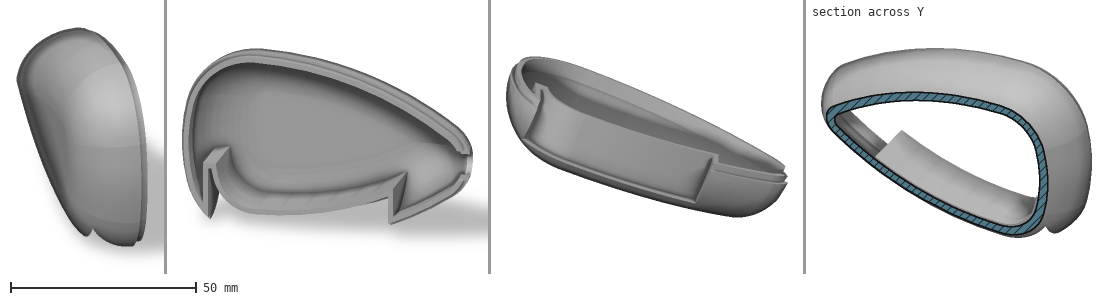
import cadquery as cq
import math

half_width = 26.9
tail_x = 21.0
side_radius = 94.7
nose_radius = 11.4
tail_radius = 48.2

dome_depth = 16.2
edge_round = 16.0
wall = 1.45

lip_height = 2.0
lip_overlap = 1.9
lip_inset = 1.0
lip_thickness = 1.45
lip_gap_width = 8.5

cable_diameter = 7.8
cable_center_y = -2.6

recess_start_x = -37.05
recess_end_x = 13.1
recess_depth = 11.5
recess_inset = 8.2

reach = 160.8

corner_radius = (
    (tail_radius**2 - half_width**2 - (tail_radius - tail_x) ** 2)
    / (2 * (tail_radius - half_width))
)
side_center = (0.0, half_width - side_radius)
corner_center = (0.0, half_width - corner_radius)
tail_center = (tail_x - tail_radius, 0.0)
nose_center = (-math.sqrt((side_radius - nose_radius) ** 2 - side_center[1] ** 2), 0.0)

nose_angle = math.atan2(-side_center[1], nose_center[0])
tail_angle = math.atan2(corner_center[1], -tail_center[0])


def polar(center, radius, angle):
    return (center[0] + radius * math.cos(angle), center[1] + radius * math.sin(angle))


def extrude_down(wire, y_high, y_low):
    """Extrude a closed XZ wire from y_high towards -Y."""
    return wire.extrude(y_high - y_low).translate((0, y_high, 0))


def block(x_low, x_high, y_low, y_high, z_low, z_high):
    size = (x_high - x_low, y_high - y_low, z_high - z_low)
    return cq.Workplane("XY").box(*size, centered=False).translate((x_low, y_low, z_low))


def outline_prism(inset, y_high, y_low):
    """Extrude the teardrop outline, moved inwards by inset."""
    nose = nose_radius - inset
    side = side_radius - inset
    corner = corner_radius - inset
    tail = tail_radius - inset

    def mirrored(point):
        return (point[0], -point[1])

    nose_end = polar(nose_center, nose, nose_angle)
    side_middle = polar(side_center, side, (nose_angle + math.pi / 2) / 2)
    widest = (0.0, half_width - inset)
    corner_middle = polar(corner_center, corner, (tail_angle + math.pi / 2) / 2)
    tail_end = polar(tail_center, tail, tail_angle)
    wire = (
        cq.Workplane("XZ")
        .moveTo(*nose_end)
        .threePointArc(side_middle, widest)
        .threePointArc(corner_middle, tail_end)
        .threePointArc((tail_x - inset, 0.0), mirrored(tail_end))
        .threePointArc(mirrored(corner_middle), mirrored(widest))
        .threePointArc(mirrored(side_middle), mirrored(nose_end))
        .threePointArc((nose_center[0] - nose, 0.0), nose_end)
        .close()
    )
    return extrude_down(wire, y_high, y_low)


def rounded_disc(center, radius, depth, rounding):
    """Disc about a Y axis with its -Y edge rounded, possibly past its centre."""
    arc_width = min(radius, rounding)
    arc_start = depth - rounding

    def arc_point(run):
        return (radius - run, -arc_start - math.sqrt(rounding**2 - (rounding - run) ** 2))

    middle_run = rounding * (1 - math.cos(math.acos(1 - arc_width / rounding) / 2))
    profile = (
        cq.Workplane("XY")
        .lineTo(radius, 0)
        .lineTo(radius, -arc_start)
        .threePointArc(arc_point(middle_run), arc_point(arc_width))
    )
    if radius > rounding:
        profile = profile.lineTo(0, -depth)
    disc = profile.close().revolve(360, (0, 0, 0), (0, 1, 0))
    return disc.translate((center[0], 0, center[1]))


def dome(inset):
    """Solid teardrop dome, with every outer face moved inwards by inset."""
    nose_far = polar(nose_center, reach, nose_angle)
    tail_far = polar(corner_center, reach, tail_angle)
    top_far = (0.0, reach)
    sectors = [
        (nose_center, nose_radius, [nose_center, (-reach, 0.0), nose_far]),
        (side_center, side_radius, [nose_center, nose_far, top_far, (0.0, 0.0)]),
        (corner_center, corner_radius, [corner_center, top_far, tail_far]),
        (tail_center, tail_radius, [(0.0, 0.0), corner_center, tail_far, (reach, 0.0)]),
    ]
    half = None
    for center, radius, corners in sectors:
        disc = rounded_disc(center, radius - inset, dome_depth - inset, edge_round - inset)
        wedge = extrude_down(cq.Workplane("XZ").polyline(corners).close(), 0, -dome_depth)
        piece = disc.intersect(wedge)
        half = piece if half is None else half.union(piece)
    return half.union(half.mirror("XY"))


def lip():
    outer = outline_prism(lip_inset, lip_height, -lip_overlap)
    inner = outline_prism(lip_inset + lip_thickness, lip_height, -lip_overlap)
    return outer.cut(inner)


def recess(growth):
    """Space below the inset outline and the corner centre, enlarged on its inner sides by growth."""
    space = block(
        recess_start_x - growth, recess_end_x + growth,
        -recess_depth - growth, lip_height,
        -half_width, growth - corner_center[1],
    )
    inset = recess_inset + growth
    core = outline_prism(inset, lip_height, -dome_depth)
    return space.cut(core)


def cable_passage():
    """Round hole through the nose and a matching gap in the lip."""
    hole = (
        cq.Workplane("YZ")
        .center(cable_center_y, 0)
        .circle(cable_diameter / 2)
        .extrude(-reach)
        .translate((nose_center[0], 0, 0))
    )
    gap = block(-reach, nose_center[0], 0, lip_height, -lip_gap_width / 2, lip_gap_width / 2)
    return hole.union(gap)


outer_dome = dome(0)
envelope = outer_dome.union(outline_prism(lip_inset, lip_height, -lip_overlap))
shell = outer_dome.cut(dome(wall)).union(lip().intersect(envelope))
recess_walls = envelope.intersect(recess(wall))
result = shell.union(recess_walls).cut(recess(0)).cut(cable_passage())